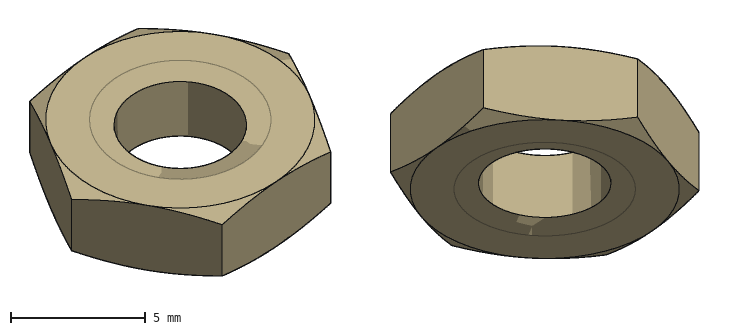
import cadquery as cq
import math

across_corners = 11.55
thickness = 3.2
bore_diameter = 4.92
countersink_diameter = 6.75
countersink_depth = 0.25
corner_chamfer_drop = 0.33

across_flats = across_corners * math.cos(math.pi / 6)
corner_radius = across_corners / 2
face_radius = across_flats / 2
bore_radius = bore_diameter / 2
countersink_radius = countersink_diameter / 2
half_thickness = thickness / 2
shoulder_height = half_thickness - corner_chamfer_drop
bore_end_height = half_thickness - countersink_depth


def hexagon_blank():
    """Hexagonal prism centred on the origin, with corners on the X axis."""
    return cq.Workplane("XY").polygon(6, across_corners).extrude(half_thickness, both=True)


def turned_envelope():
    """Ring with conical outer chamfers and a bore countersunk at both ends."""
    profile = [
        (bore_radius, -bore_end_height),
        (countersink_radius, -half_thickness),
        (face_radius, -half_thickness),
        (corner_radius, -shoulder_height),
        (corner_radius, shoulder_height),
        (face_radius, half_thickness),
        (countersink_radius, half_thickness),
        (bore_radius, bore_end_height),
    ]
    return cq.Workplane("XZ").polyline(profile).close().revolve(360, (0, 0, 0), (0, 1, 0))


result = hexagon_blank().intersect(turned_envelope())